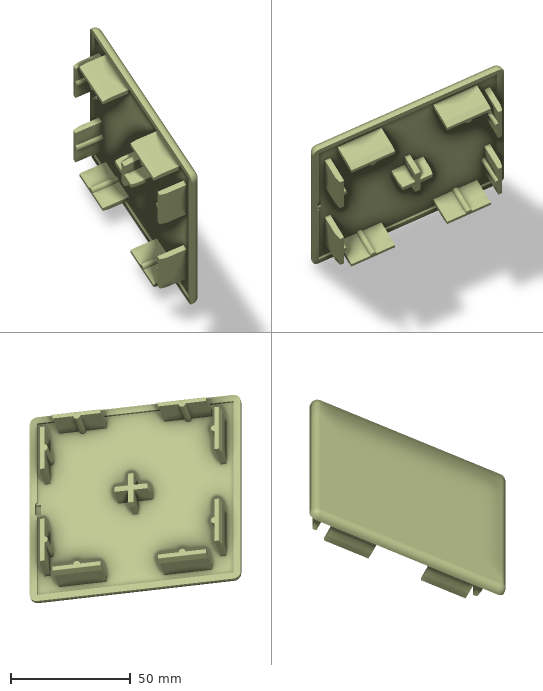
import cadquery as cq

SIDE = 90.0
DEPTH = 15.5
PLATE_THICKNESS = 4.0
CORNER_RADIUS = 3.2
BACK_RADIUS = 3.1

RIM_WIDTH = 3.1
RECESS_DEPTH = 1.0

NOTCH_INSET = 2.25
NOTCH_WIDTH = 2.25
NOTCH_LENGTH = 4.9
NOTCH_DEPTH = 2.0

CLIP_START = 12.2
CLIP_END = 32.8
CLIP_OUTER = 38.8
CLIP_THICKNESS = 2.5
CLIP_BEVEL_LENGTH = 3.1
CLIP_BEVEL_DROP = 0.6
CLIP_TIP_RADIUS = 0.3
RIB_RADIUS = 1.4

CROSS_RADIUS = 7.6
CROSS_TIP_RADIUS = 7.1
CROSS_TIP_FILLET = 0.4
CROSS_HEIGHT = 8.5
CROSS_TAPER_LENGTH = 3.0
CROSS_ARM_THICKNESS = 2.4

tip_y = 0.0
back_y = DEPTH
rim_y = back_y - PLATE_THICKNESS
floor_y = rim_y + RECESS_DEPTH

clip_length = CLIP_END - CLIP_START
clip_offset = (CLIP_START + CLIP_END) / 2


def block(x_min, x_max, y_min, y_max, z_min, z_max):
    size = (x_max - x_min, y_max - y_min, z_max - z_min)
    return cq.Workplane("XY").box(*size, centered=False).translate((x_min, y_min, z_min))


def make_plate():
    half_recess = SIDE / 2 - RIM_WIDTH
    plate = block(-SIDE / 2, SIDE / 2, rim_y, back_y, -SIDE / 2, SIDE / 2)
    plate = plate.edges("|Y").fillet(CORNER_RADIUS)
    plate = plate.faces(">Y").edges().fillet(BACK_RADIUS)
    recess = block(-half_recess, half_recess, rim_y, floor_y, -half_recess, half_recess)
    return plate.cut(recess)


def make_notch():
    """Pocket below the recess floor, opening through the rim with 45 degree flared ends."""
    notch_x = -SIDE / 2 + NOTCH_INSET
    recess_x = -SIDE / 2 + RIM_WIDTH
    half_length = NOTCH_LENGTH / 2
    flared_half = half_length + RIM_WIDTH - NOTCH_INSET
    pocket = block(notch_x, notch_x + NOTCH_WIDTH, rim_y, rim_y + NOTCH_DEPTH, -half_length, half_length)
    flare = (
        cq.Workplane("XZ", origin=(0, floor_y, 0))
        .moveTo(notch_x, -half_length)
        .lineTo(recess_x, -flared_half)
        .lineTo(recess_x, flared_half)
        .lineTo(notch_x, half_length)
        .close()
        .extrude(RECESS_DEPTH)
    )
    return pocket.union(flare)


def make_clip():
    """One clip on the +Z side, centred on X = 0."""
    inner_z = CLIP_OUTER - CLIP_THICKNESS
    tip_corner = (0, tip_y, CLIP_OUTER - CLIP_BEVEL_DROP)
    blade = (
        cq.Workplane("YZ")
        .moveTo(floor_y, inner_z)
        .lineTo(floor_y, CLIP_OUTER)
        .lineTo(tip_y + CLIP_BEVEL_LENGTH, CLIP_OUTER)
        .lineTo(tip_y, CLIP_OUTER - CLIP_BEVEL_DROP)
        .lineTo(tip_y, inner_z)
        .close()
        .extrude(clip_length / 2, both=True)
        .edges(cq.selectors.NearestToPointSelector(tip_corner))
        .fillet(CLIP_TIP_RADIUS)
    )
    rib = cq.Workplane("XZ", origin=(0, floor_y, inner_z)).circle(RIB_RADIUS).extrude(floor_y - tip_y)
    return blade.union(rib)


def make_cross():
    cross_tip_y = rim_y - CROSS_HEIGHT
    half_arm = CROSS_ARM_THICKNESS / 2
    outline = (
        cq.Workplane("XY")
        .moveTo(0, floor_y)
        .lineTo(CROSS_RADIUS, floor_y)
        .lineTo(CROSS_RADIUS, cross_tip_y + CROSS_TAPER_LENGTH)
        .lineTo(CROSS_TIP_RADIUS, cross_tip_y)
        .lineTo(0, cross_tip_y)
        .close()
        .revolve(360, (0, 0, 0), (0, 1, 0))
        .faces("<Y")
        .edges()
        .fillet(CROSS_TIP_FILLET)
    )
    arm_x = block(-CROSS_RADIUS, CROSS_RADIUS, cross_tip_y, floor_y, -half_arm, half_arm)
    arm_z = block(-half_arm, half_arm, cross_tip_y, floor_y, -CROSS_RADIUS, CROSS_RADIUS)
    return outline.intersect(arm_x.union(arm_z))


result = make_plate().cut(make_notch()).union(make_cross())
clip = make_clip()
for quarter_turn in range(4):
    for offset in (-clip_offset, clip_offset):
        placed = clip.translate((offset, 0, 0)).rotate((0, 0, 0), (0, 1, 0), 90 * quarter_turn)
        result = result.union(placed)